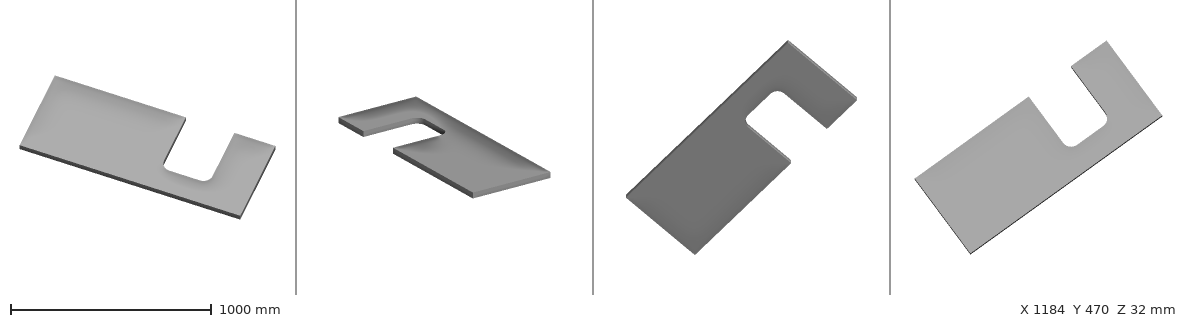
import cadquery as cq

length = 1184.0
width = 470.0
thickness = 32.0

notch_width = 260.0
notch_depth = 340.0
notch_corner_radius = 50.0
right_arm_width = 220.0


def make_panel():
    return cq.Workplane("XY").box(length, width, thickness, centered=False)


def make_notch():
    left = length - right_arm_width - notch_width
    front = width - notch_depth
    return (
        cq.Workplane("XY")
        .box(notch_width, notch_depth, thickness, centered=False)
        .edges("|Z and <Y")
        .fillet(notch_corner_radius)
        .translate((left, front, 0))
    )


result = make_panel().cut(make_notch())